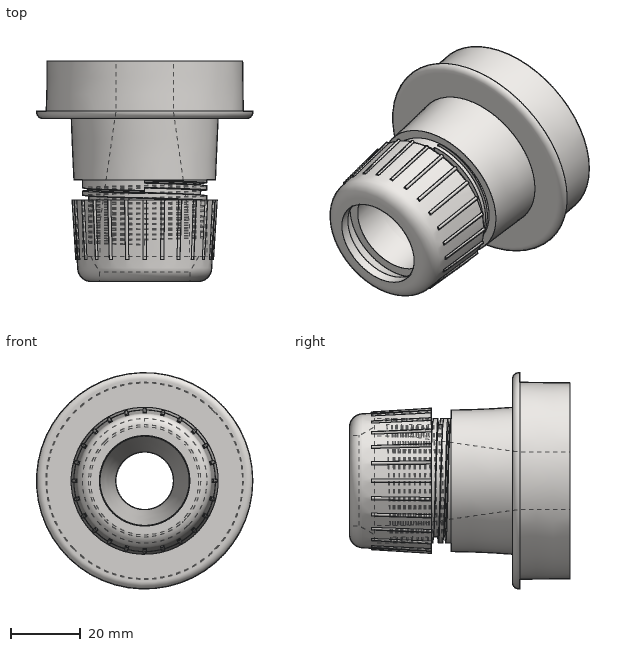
import cadquery as cq
import math

TOTAL_LENGTH = 63.25

PLUG_BACK_RADIUS = 28.1
PLUG_FRONT_RADIUS = 28.3

FLANGE_RADIUS = 31.0
FLANGE_BACK = 14.4
FLANGE_FRONT = 16.6
FLANGE_FILLET = 1.9

NECK_BACK_RADIUS = 21.05
NECK_FRONT_RADIUS = 20.3
NECK_FRONT = 34.1

CREST_RADIUS = 17.85
ROOT_RADIUS = 16.05
SPIGOT_FRONT = 56.0
THREAD_PITCH = 3.0
GROOVE_OVERSHOOT = 0.3
ENTRY_START = 34.6
ENTRY_CREST_WIDTH = 0.9
ENTRY_ROOT_WIDTH = 0.4
GROOVE_START = 37.05
GROOVE_TURNS = 5
GROOVE_CREST_WIDTH = 1.65
GROOVE_ROOT_WIDTH = 1.25

OUTLET_RADIUS = 8.2
SOCKET_RADIUS = 12.8
FUNNEL_BACK = FLANGE_BACK
SOCKET_BACK = 46.2

CAP_BACK = 39.8
CAP_TAPER = math.radians(3)
CAP_RIM_RADIUS = 15.25
CAP_ROUND = 4.0
CAP_SHOULDER = TOTAL_LENGTH - CAP_ROUND * (1 - math.sin(CAP_TAPER))
CAP_SHOULDER_RADIUS = CAP_RIM_RADIUS + CAP_ROUND * math.cos(CAP_TAPER)
CAP_BACK_RADIUS = CAP_SHOULDER_RADIUS + (CAP_SHOULDER - CAP_BACK) * math.tan(CAP_TAPER)
CAP_BORE_RADIUS = 12.95
LIP_THICKNESS = 2.85
LIP_FLARE_RADIUS = 15.5
LIP_BACK = TOTAL_LENGTH - LIP_THICKNESS

RIB_COUNT = 24
RIB_RADIUS = 0.5
RIB_FRONT = 56.9
RIB_BACK_AXIS_RADIUS = 20.3
RIB_FRONT_AXIS_RADIUS = 19.2


def turn(profile):
    """Revolve a closed (radius, -station) profile about the Y axis."""
    return profile.close().revolve(360, (0, 0, 0), (0, 1, 0))


def round_front_edge(outline, rim_radius, front, size, taper=0.0):
    """Round the outline from a side tapering inward by `taper` onto a flat front face."""
    middle_angle = (taper + math.pi / 2) / 2
    center_station = front - size
    middle = (
        rim_radius + size * math.cos(middle_angle),
        -(center_station + size * math.sin(middle_angle)),
    )
    return outline.threePointArc(middle, (rim_radius, -front))


def thread_groove(start, turns, crest_width, root_width):
    """Left-hand helical groove cutter that begins above the axis (+Z)."""
    outer = CREST_RADIUS + GROOVE_OVERSHOOT
    flank_slope = (crest_width - root_width) / (CREST_RADIUS - ROOT_RADIUS)
    outer_half = crest_width / 2 + flank_slope * GROOVE_OVERSHOOT / 2
    root_half = root_width / 2
    path = cq.Wire.makeHelix(THREAD_PITCH, THREAD_PITCH * turns, ROOT_RADIUS, lefthand=True)
    cutter = (
        cq.Workplane("XZ")
        .moveTo(ROOT_RADIUS, -root_half)
        .lineTo(outer, -outer_half)
        .lineTo(outer, outer_half)
        .lineTo(ROOT_RADIUS, root_half)
        .close()
        .sweep(cq.Workplane(path), isFrenet=True)
    )
    cutter = cutter.rotate((0, 0, 0), (0, 0, 1), 90)
    return cutter.rotate((0, 0, 0), (1, 0, 0), 90).translate((0, -start, 0))


def make_housing():
    outline = (
        cq.Workplane("XY")
        .moveTo(OUTLET_RADIUS, 0)
        .lineTo(PLUG_BACK_RADIUS, 0)
        .lineTo(PLUG_FRONT_RADIUS, -FLANGE_BACK)
        .lineTo(FLANGE_RADIUS, -FLANGE_BACK)
        .lineTo(FLANGE_RADIUS, -(FLANGE_FRONT - FLANGE_FILLET))
    )
    outline = round_front_edge(outline, FLANGE_RADIUS - FLANGE_FILLET, FLANGE_FRONT, FLANGE_FILLET)
    outline = (
        outline.lineTo(NECK_BACK_RADIUS, -FLANGE_FRONT)
        .lineTo(NECK_FRONT_RADIUS, -NECK_FRONT)
        .lineTo(CREST_RADIUS, -NECK_FRONT)
        .lineTo(CREST_RADIUS, -SPIGOT_FRONT)
        .lineTo(SOCKET_RADIUS, -SPIGOT_FRONT)
        .lineTo(SOCKET_RADIUS, -SOCKET_BACK)
        .lineTo(OUTLET_RADIUS, -FUNNEL_BACK)
    )
    body = turn(outline)

    entry = thread_groove(ENTRY_START, 1, ENTRY_CREST_WIDTH, ENTRY_ROOT_WIDTH)
    groove = thread_groove(GROOVE_START, GROOVE_TURNS, GROOVE_CREST_WIDTH, GROOVE_ROOT_WIDTH)
    return body.cut(entry).cut(groove)


def make_rib():
    """Round rod lying along the cap's side above the axis, flush with the cap's back face."""
    drop = RIB_BACK_AXIS_RADIUS - RIB_FRONT_AXIS_RADIUS
    run = RIB_FRONT - CAP_BACK
    return (
        cq.Workplane("XZ", origin=(0, -CAP_BACK, RIB_BACK_AXIS_RADIUS))
        .circle(RIB_RADIUS)
        .sweep(
            cq.Workplane("YZ")
            .moveTo(-CAP_BACK, RIB_BACK_AXIS_RADIUS)
            .line(-run, -drop)
        )
    )


def make_cap():
    outline = (
        cq.Workplane("XY")
        .moveTo(CREST_RADIUS, -CAP_BACK)
        .lineTo(CAP_BACK_RADIUS, -CAP_BACK)
        .lineTo(CAP_SHOULDER_RADIUS, -CAP_SHOULDER)
    )
    outline = round_front_edge(outline, CAP_RIM_RADIUS, TOTAL_LENGTH, CAP_ROUND, CAP_TAPER)
    outline = (
        outline.lineTo(CAP_BORE_RADIUS, -TOTAL_LENGTH)
        .lineTo(CAP_BORE_RADIUS, -LIP_BACK)
        .lineTo(LIP_FLARE_RADIUS, -SPIGOT_FRONT)
        .lineTo(CREST_RADIUS, -SPIGOT_FRONT)
    )
    cap = turn(outline)

    rib = make_rib()
    for index in range(RIB_COUNT):
        cap = cap.union(rib.rotate((0, 0, 0), (0, 1, 0), index * 360 / RIB_COUNT))
    return cap


housing = make_housing()
cap = make_cap()
result = cq.Compound.makeCompound([housing.solids().val(), cap.solids().val()])